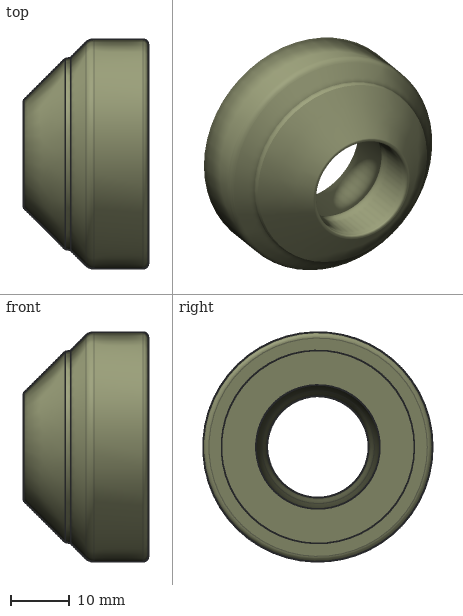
import cadquery as cq
import math

SLOPE_ANGLE = math.radians(45)
SIN_45 = math.sin(SLOPE_ANGLE)

total_length = 21.2

bore_radius = 8.58
wide_bore_radius = 10.53
lip_radius = 0.4
widening_start = 8.4
nose_radius = 16.2
seat_radius = 16.38

collar_radius = 19.5
shoulder_round = 1.95
rear_round = 0.98
shoulder_end = 11.95

shoulder_start = (
    shoulder_end - shoulder_round * SIN_45,
    collar_radius - shoulder_round * (1 - SIN_45),
)
seat_start = shoulder_start[0] - (shoulder_start[1] - seat_radius)


def revolve_about_x(profile):
    return profile.close().revolve(360, (0, 0, 0), (1, 0, 0))


def make_sleeve():
    lip_center_radius = bore_radius + lip_radius
    cone_start = (lip_radius * (1 - SIN_45), lip_center_radius + lip_radius * SIN_45)
    lip_middle_angle = SLOPE_ANGLE / 2
    lip_middle = (
        lip_radius * (1 - math.cos(lip_middle_angle)),
        lip_center_radius - lip_radius * math.sin(lip_middle_angle),
    )
    cone_end = cone_start[0] + nose_radius - cone_start[1]

    arc_rise = (wide_bore_radius - bore_radius) / 2
    arc_run = arc_rise / math.tan(SLOPE_ANGLE / 2)
    arcs_meet = (widening_start + arc_run, bore_radius + arc_rise)
    widening_end = widening_start + 2 * arc_run

    profile = (
        cq.Workplane("XY")
        .moveTo(lip_radius, bore_radius)
        .threePointArc(lip_middle, cone_start)
        .lineTo(cone_end, nose_radius)
        .lineTo(seat_start, seat_radius)
        .lineTo(total_length, seat_radius)
        .lineTo(total_length, wide_bore_radius)
        .lineTo(widening_end, wide_bore_radius)
        .tangentArcPoint(arcs_meet, relative=False)
        .tangentArcPoint((widening_start, bore_radius), relative=False)
    )
    return revolve_about_x(profile)


def make_collar():
    rear_round_start = total_length - rear_round

    profile = (
        cq.Workplane("XY")
        .moveTo(seat_start, seat_radius)
        .lineTo(*shoulder_start)
        .tangentArcPoint((shoulder_end, collar_radius), relative=False)
        .lineTo(rear_round_start, collar_radius)
        .tangentArcPoint((total_length, collar_radius - rear_round), relative=False)
        .lineTo(total_length, seat_radius)
    )
    return revolve_about_x(profile)


sleeve = make_sleeve()
collar = make_collar()

result = cq.Compound.makeCompound([sleeve.val(), collar.val()])